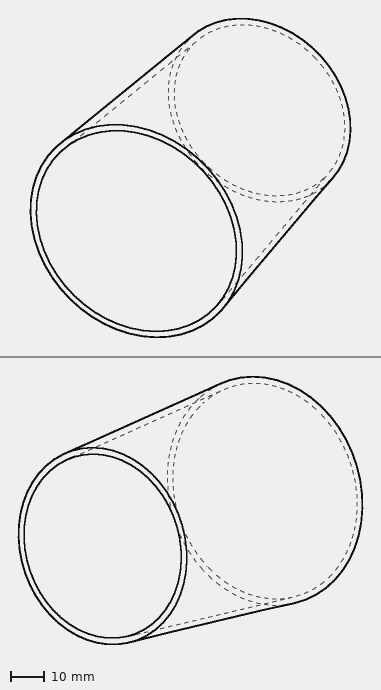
import cadquery as cq

length = 90.0
large_outer_diameter = 70.0
small_outer_diameter = 60.3
wall = 2.0

large_outer_radius = large_outer_diameter / 2
small_outer_radius = small_outer_diameter / 2

large_end_y = -length / 2
small_end_y = length / 2
wall_section = [
    (large_end_y, large_outer_radius - wall),
    (large_end_y, large_outer_radius),
    (small_end_y, small_outer_radius),
    (small_end_y, small_outer_radius - wall),
]

axis_start = (0, 0, 0)
axis_end = (1, 0, 0)
result = (
    cq.Workplane("YZ")
    .polyline(wall_section)
    .close()
    .revolve(360, axis_start, axis_end)
)